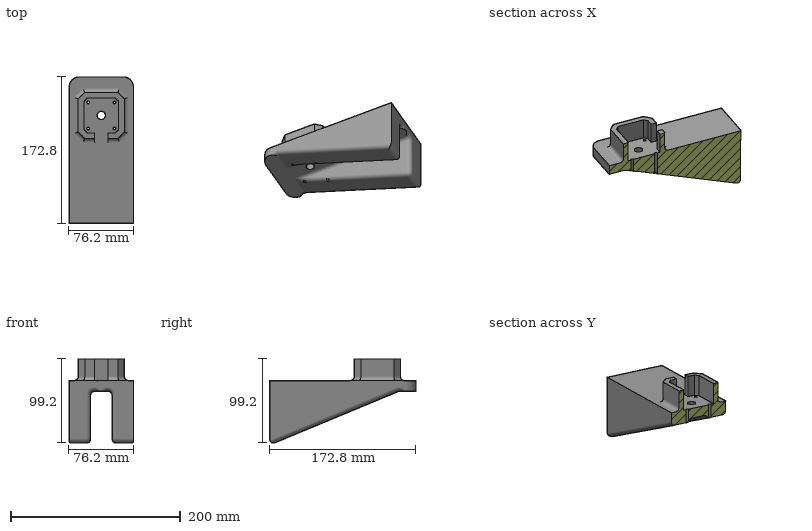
import math

import cadquery as cq

plate_width = 76.2
plate_length = 172.8
plate_thickness = 12.8
plate_corner_radius = 12.5
edge_radius = 4.8
collar_fillet_radius = 4.7

leg_drop = 76.2
leg_length = 152.4
leg_gap = 25.2

collar_size = 54.6
collar_chamfer = 7.8
collar_height = 25.4
collar_center_y = plate_length - 45.6
pocket_size = 41.1
pocket_chamfer = 4.0
cable_gap = 16.0

shaft_hole_diameter = 9.5
screw_hole_diameter = 3.0
screw_spacing = 31.0

tolerance = 0.02


def make_plate():
    plate = cq.Workplane("XY").box(
        plate_width, plate_length, plate_thickness, centered=(True, False, False)
    )
    plate = plate.translate((0, 0, -plate_thickness))
    return plate.edges("|Z and >Y").fillet(plate_corner_radius)


def make_legs():
    wedge = (
        cq.Workplane("YZ")
        .moveTo(0, -plate_thickness)
        .lineTo(leg_length, -plate_thickness)
        .lineTo(0, -leg_drop)
        .close()
        .extrude(plate_width / 2, both=True)
    )
    gap = cq.Workplane("XY").box(
        leg_gap, plate_length, leg_drop - plate_thickness, centered=(True, False, False)
    )
    return wedge.cut(gap.translate((0, 0, -leg_drop)))


def is_close(value, target):
    return abs(value - target) < tolerance


def fillet_where(body, condition, radius=edge_radius):
    edges = [edge for edge in body.edges().vals() if condition(edge)]
    return body.newObject(edges).fillet(radius)


def is_inner_corner(edge):
    """Edges where a leg's inner side or sloped underside meets the plate."""
    center = edge.Center()
    if not is_close(center.z, -plate_thickness):
        return False
    along_gap = is_close(abs(center.x), leg_gap / 2)
    at_leg_end = is_close(center.y, leg_length) and not is_close(center.x, 0)
    return along_gap or at_leg_end


def is_leg_rim(edge):
    """Outer edges of the legs: sloped edges, front bottom edges and front gap edges."""
    center = edge.Center()
    box = edge.BoundingBox()
    on_inner_side = is_close(abs(center.x), leg_gap / 2)
    on_outer_side = is_close(abs(center.x), plate_width / 2)
    on_front = is_close(box.ymax, 0)
    is_sloped = box.ylen > leg_length / 2 and box.zlen > plate_thickness
    is_front_bottom = on_front and is_close(box.zmax, -leg_drop)
    is_front_gap = on_front and on_inner_side
    return is_front_bottom or is_front_gap or (is_sloped and (on_inner_side or on_outer_side))


def rim_runout(center, axis):
    """Ring of material removed as a leg's rounded rim curls on past the end of an inner corner.

    The center lies on the body's side face and the horizontal axis points into the body.
    """
    up = cq.Vector(0, 0, 1)
    section = cq.Plane(origin=center, xDir=up, normal=up.cross(axis))
    inner_radius = edge_radius
    outer_radius = 2 * edge_radius
    arc_reach = edge_radius * math.sqrt(0.5)
    return (
        cq.Workplane(section)
        .moveTo(inner_radius, 0)
        .lineTo(outer_radius, 0)
        .threePointArc(
            (outer_radius - arc_reach, edge_radius - arc_reach), (inner_radius, edge_radius)
        )
        .close()
        .revolve(360, (0, 0), (0, 1))
    )


def sharpen_plate(body):
    """Give the plate a square lower edge again, except where the leg rounding runs out."""
    corner_z = -plate_thickness - edge_radius
    slope_angle = math.atan2(leg_drop - plate_thickness, leg_length)
    leg_end_y = leg_length + edge_radius * math.tan(slope_angle / 2)
    gap_corner_x = leg_gap / 2 - edge_radius
    front_depth = 2 * edge_radius

    back_region = cq.Workplane("XY").box(
        plate_width, plate_length - leg_end_y, plate_thickness, centered=(True, False, False)
    )
    back = make_plate().intersect(back_region.translate((0, leg_end_y, -plate_thickness)))
    front = cq.Workplane("XY").box(
        2 * gap_corner_x, front_depth, plate_thickness, centered=(True, False, False)
    )
    front = front.translate((0, 0, -plate_thickness))

    body = body.cut(back).cut(front)

    for side in (-1, 1):
        outer_corner = cq.Vector(side * plate_width / 2, leg_end_y, corner_z)
        back = back.cut(rim_runout(outer_corner, cq.Vector(-side, 0, 0)))
        front_corner = cq.Vector(side * gap_corner_x, 0, corner_z)
        front = front.cut(rim_runout(front_corner, cq.Vector(0, 1, 0)))
    return body.union(back).union(front)


def add_collar(body):
    center = (0, collar_center_y)
    collar = (
        cq.Workplane("XY").center(*center).rect(collar_size, collar_size)
        .extrude(collar_height).edges("|Z").chamfer(collar_chamfer)
    )
    half_size = collar_size / 2 + tolerance

    def is_collar_foot(edge):
        edge_center = edge.Center()
        inside_x = abs(edge_center.x) < half_size
        inside_y = abs(edge_center.y - collar_center_y) < half_size
        return inside_x and inside_y and is_close(edge_center.z, 0)

    body = fillet_where(body.union(collar), is_collar_foot, collar_fillet_radius)

    pocket = (
        cq.Workplane("XY").center(*center).rect(pocket_size, pocket_size)
        .extrude(collar_height).edges("|Z").chamfer(pocket_chamfer)
    )
    opening = cq.Workplane("XY").box(
        cable_gap, collar_center_y, collar_height, centered=(True, False, False)
    )
    return body.cut(pocket).cut(opening)


def cut_motor_holes(body):
    plane = cq.Workplane("XY").center(0, collar_center_y)
    shaft_hole = plane.circle(shaft_hole_diameter / 2).extrude(-leg_drop)
    screw_holes = (
        plane.rect(screw_spacing, screw_spacing, forConstruction=True).vertices()
        .circle(screw_hole_diameter / 2).extrude(-leg_drop)
    )
    return body.cut(shaft_hole).cut(screw_holes)


bracket = make_plate().union(make_legs())
bracket = fillet_where(bracket, is_inner_corner)
bracket = fillet_where(bracket, is_leg_rim)
bracket = sharpen_plate(bracket)
bracket = add_collar(bracket)
result = cut_motor_holes(bracket)